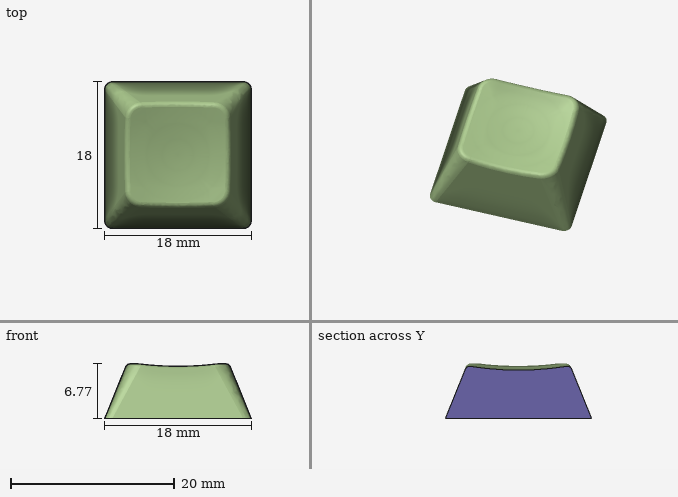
import cadquery as cq

base_width = 18.0
base_corner_radius = 0.99
loft_height = 7.56
side_inset = 3.06
loft_corner_radius = 2.02

dish_radius = 37.8
dish_floor_height = 5.98

rim_fillet_radius = 0.61


def rounded_square(width, corner_radius, height):
    """Square sketch with rounded corners, raised to the given height."""
    outline = cq.Sketch().rect(width, width).vertices().fillet(corner_radius)
    return outline.moved(cq.Location(cq.Vector(0, 0, height)))


def tapered_body():
    """Drafted block whose corner rounding grows towards the top."""
    top_width = base_width - 2 * side_inset
    base = rounded_square(base_width, base_corner_radius, 0)
    top = rounded_square(top_width, loft_corner_radius, loft_height)
    return cq.Workplane("XY").placeSketch(base, top).loft(ruled=True)


def dish_cutter():
    """Sphere whose lowest point is the floor of the dish."""
    center_height = dish_floor_height + dish_radius
    return cq.Workplane("XY").sphere(dish_radius).translate((0, 0, center_height))


dished_body = tapered_body().cut(dish_cutter())
result = dished_body.faces("%SPHERE").edges().fillet(rim_fillet_radius)